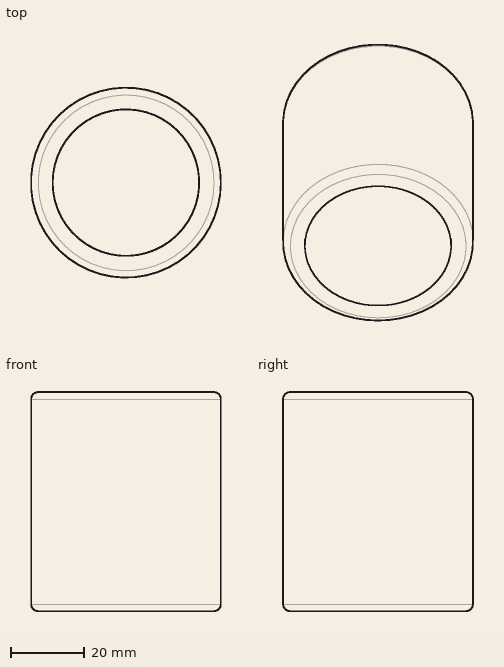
import cadquery as cq

length = 60.0
outer_diameter = 52.0
bore_diameter = 40.0
edge_radius = 2.0

sleeve = cq.Workplane("XY").circle(outer_diameter / 2).extrude(length)

rounded_sleeve = sleeve.faces("<Z or >Z").edges().fillet(edge_radius)

result = rounded_sleeve.faces(">Z").workplane().hole(bore_diameter)